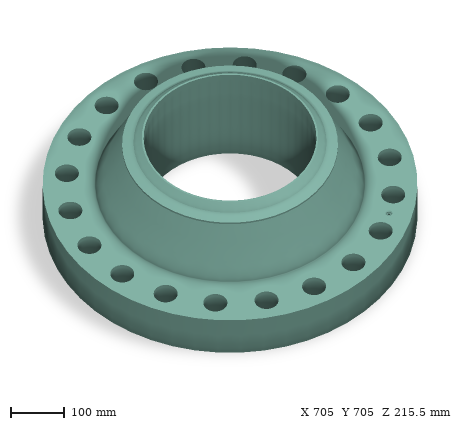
import cadquery as cq
import math

flange_diameter = 705.0
flange_thickness = 89.0
overall_height = 215.5
bore_diameter = 325.0

hub_base_radius = 254.0
hub_fillet_radius = 2.0
neck_radius = 203.0
neck_length = 4.0

lip_width = 3.5
steep_bevel_width = 15.5
steep_bevel_angle = 40
shallow_bevel_angle = 12

bolt_circle_diameter = 616.0
bolt_hole_count = 20
bolt_hole_diameter = 45.0

small_hole_diameter = 10.0
small_hole_chamfer = 1.75
small_hole_depth = 3.5
pilot_diameter = 4.0
pilot_depth = 7.0


def slope_drop(width, angle):
    """Height lost over a radial width on a face sloping at the angle (degrees) from horizontal."""
    return width * math.tan(math.radians(angle))


def revolve_about_z(profile):
    """Full revolution of a closed (radius, height) profile about the Z axis."""
    return cq.Workplane("XZ").polyline(profile).close().revolve(360, (0, 0, 0), (0, 1, 0))


def flange_body():
    """Flange, conical hub and bevelled weld end, revolved about Z."""
    bore_radius = bore_diameter / 2
    flange_radius = flange_diameter / 2
    lip_radius = bore_radius + lip_width
    bevel_radius = lip_radius + steep_bevel_width
    bevel_z = overall_height - slope_drop(steep_bevel_width, steep_bevel_angle)
    neck_top_z = bevel_z - slope_drop(neck_radius - bevel_radius, shallow_bevel_angle)

    profile = [
        (bore_radius, 0),
        (flange_radius, 0),
        (flange_radius, flange_thickness),
        (hub_base_radius, flange_thickness),
        (neck_radius, neck_top_z - neck_length),
        (neck_radius, neck_top_z),
        (bevel_radius, bevel_z),
        (lip_radius, overall_height),
        (bore_radius, overall_height),
    ]
    body = revolve_about_z(profile)
    hub_base_edge = cq.selectors.RadiusNthSelector(-2)
    return body.edges(hub_base_edge).fillet(hub_fillet_radius)


def bolt_holes():
    """Through holes evenly spaced on the bolt circle, the first on +X."""
    return (
        cq.Workplane("XY")
        .polarArray(bolt_circle_diameter / 2, 0, 360, bolt_hole_count)
        .circle(bolt_hole_diameter / 2)
        .extrude(flange_thickness)
    )


def small_hole():
    """Blind stepped hole in the flange top, midway between the first two bolt holes."""
    hole_radius = small_hole_diameter / 2
    pilot_radius = pilot_diameter / 2
    profile = [
        (0, 0),
        (hole_radius + small_hole_chamfer, 0),
        (hole_radius, -small_hole_chamfer),
        (hole_radius, -small_hole_depth),
        (pilot_radius, -small_hole_depth),
        (pilot_radius, -pilot_depth),
        (0, -pilot_depth),
    ]
    cutter = revolve_about_z(profile)
    cutter = cutter.translate((bolt_circle_diameter / 2, 0, flange_thickness))
    half_pitch = 180 / bolt_hole_count
    return cutter.rotate((0, 0, 0), (0, 0, 1), half_pitch)


result = flange_body().cut(bolt_holes()).cut(small_hole())